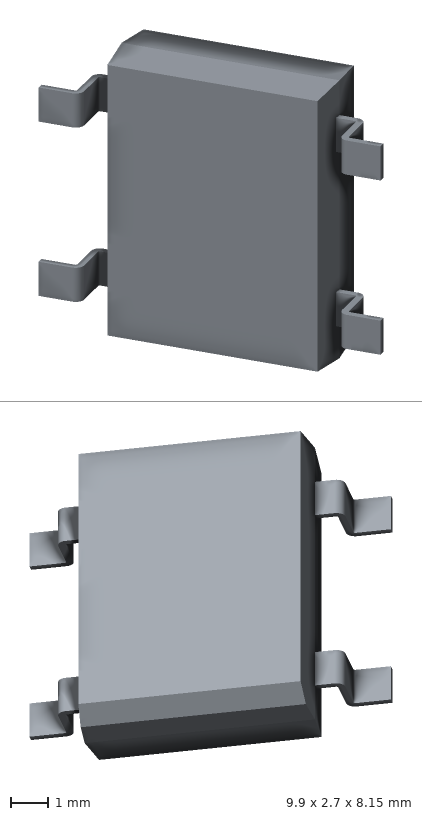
import cadquery as cq
import math


housing_length = 8.15
housing_width = 6.31
half_depth = 1.252
draft_angle = 5.0
chamfer_on_back = 0.43
chamfer_on_bottom = 0.46

span = 9.9
lead_width = 1.0
lead_thickness = 0.2
lead_pitch = 5.11
foot_length = 1.02
inner_bend_radius = 0.05
outer_bend_radius = inner_bend_radius + lead_thickness

draft_slope = math.tan(math.radians(draft_angle))
back_face_half_length = housing_length / 2 - half_depth * draft_slope


def make_housing_half(direction):
    """Half of the housing, tapering from the parting plane; direction is +1 (back) or -1 (front)."""
    parting_plane = cq.Plane(origin=(0, 0, 0), xDir=(1, 0, 0), normal=(0, direction, 0))
    return (
        cq.Workplane(parting_plane)
        .rect(housing_width, housing_length)
        .extrude(half_depth, taper=draft_angle)
    )


def make_chamfer_cutter():
    """Wedge that removes the edge between the back face and the bottom."""
    chamfer_front_y = half_depth - chamfer_on_bottom
    corner_z = -back_face_half_length
    chamfer_front_z = corner_z - chamfer_on_bottom * draft_slope
    return (
        cq.Workplane("YZ")
        .moveTo(half_depth, corner_z + chamfer_on_back)
        .lineTo(chamfer_front_y, chamfer_front_z)
        .lineTo(half_depth, chamfer_front_z)
        .close()
        .extrude(housing_width / 2, both=True)
    )


def make_housing():
    """Both drafted halves in one solid, with the chamfered edge."""
    return make_housing_half(1).union(make_housing_half(-1)).cut(make_chamfer_cutter())


def make_lead(side, center_z):
    """Z-bent strip that ends against the housing; side is +1 (+X) or -1 (-X)."""
    tip_x = span / 2
    riser_outer_x = tip_x - foot_length
    riser_inner_x = riser_outer_x - lead_thickness
    root_x = housing_width / 2
    shoulder_front_y = -lead_thickness
    foot_back_y = -half_depth
    foot_front_y = foot_back_y - lead_thickness
    root_front_x = root_x - lead_thickness * draft_slope

    arc_mid = 1 - math.sqrt(0.5)
    inner_mid = inner_bend_radius * arc_mid
    outer_mid = outer_bend_radius * arc_mid

    profile = (
        cq.Workplane("XY", origin=(0, 0, center_z - lead_width / 2))
        .moveTo(root_x, 0)
        .lineTo(riser_outer_x - outer_bend_radius, 0)
        .threePointArc(
            (riser_outer_x - outer_mid, -outer_mid),
            (riser_outer_x, -outer_bend_radius),
        )
        .lineTo(riser_outer_x, foot_back_y + inner_bend_radius)
        .threePointArc(
            (riser_outer_x + inner_mid, foot_back_y + inner_mid),
            (riser_outer_x + inner_bend_radius, foot_back_y),
        )
        .lineTo(tip_x, foot_back_y)
        .lineTo(tip_x, foot_front_y)
        .lineTo(riser_inner_x + outer_bend_radius, foot_front_y)
        .threePointArc(
            (riser_inner_x + outer_mid, foot_front_y + outer_mid),
            (riser_inner_x, foot_front_y + outer_bend_radius),
        )
        .lineTo(riser_inner_x, shoulder_front_y - inner_bend_radius)
        .threePointArc(
            (riser_inner_x - inner_mid, shoulder_front_y - inner_mid),
            (riser_inner_x - inner_bend_radius, shoulder_front_y),
        )
        .lineTo(root_front_x, shoulder_front_y)
        .close()
    )
    lead = profile.extrude(lead_width)
    return lead if side > 0 else lead.mirror("YZ")


housing = make_housing()

leads = []
for side in (-1, 1):
    for row in (-1, 1):
        leads.append(make_lead(side, row * lead_pitch / 2))

result = cq.Compound.makeCompound([housing.val()] + [lead.val() for lead in leads])